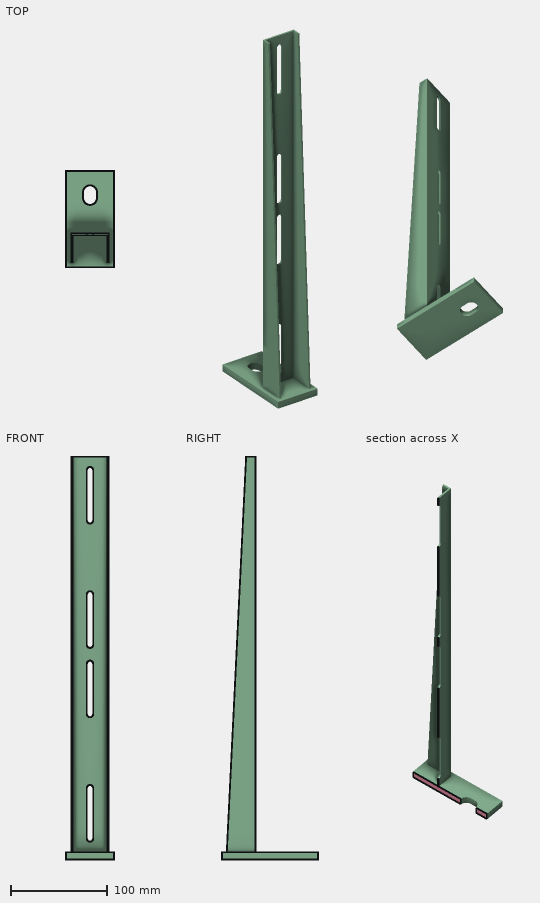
import cadquery as cq

total_height = 418.0
plate_width = 50.0
plate_length = 100.0
plate_thickness = 8.0

anchor_hole_width = 14.2
anchor_hole_length = 20.0
anchor_hole_from_back = 25.0

channel_width = 39.5
sheet_thickness = 2.0
channel_back_from_back = 64.8
flange_depth_bottom = 30.0
flange_depth_top = 10.0

slot_width = 6.3
slot_length = 58.5
outer_slot_from_end = 40.0
inner_slot_offset = 36.0

plate_back = plate_length / 2
channel_back = plate_back - channel_back_from_back
channel_height = total_height - plate_thickness
channel_mid_z = plate_thickness + channel_height / 2
outer_slot_offset = channel_height / 2 - outer_slot_from_end


def make_base_plate():
    """Flat plate resting on Z = 0, with one anchor hole behind the channel."""
    plate = cq.Workplane("XY").box(
        plate_width, plate_length, plate_thickness, centered=(True, True, False)
    )
    anchor_hole = (
        cq.Workplane("XY")
        .center(0, plate_back - anchor_hole_from_back)
        .slot2D(anchor_hole_length, anchor_hole_width, 90)
        .extrude(plate_thickness)
    )
    return plate.cut(anchor_hole)


def make_channel():
    """Slotted U-channel standing on the plate, open towards -Y."""
    side_profile = [
        (channel_back, plate_thickness),
        (channel_back, total_height),
        (channel_back - flange_depth_top, total_height),
        (channel_back - flange_depth_bottom, plate_thickness),
    ]
    tapered_block = (
        cq.Workplane("YZ").polyline(side_profile).close().extrude(channel_width / 2, both=True)
    )
    inside = (
        cq.Workplane("XY")
        .box(
            channel_width - 2 * sheet_thickness,
            flange_depth_bottom,
            channel_height,
            centered=(True, False, False),
        )
        .translate((0, channel_back - sheet_thickness - flange_depth_bottom, plate_thickness))
    )
    slot_offsets = [-outer_slot_offset, -inner_slot_offset, inner_slot_offset, outer_slot_offset]
    slots = (
        cq.Workplane("XZ", origin=(0, channel_back, channel_mid_z))
        .pushPoints([(0, offset) for offset in slot_offsets])
        .slot2D(slot_length, slot_width, 90)
        .extrude(sheet_thickness)
    )
    return tapered_block.cut(inside).cut(slots)


base_plate = make_base_plate()
channel = make_channel()

result = cq.Compound.makeCompound([base_plate.val(), channel.val()])